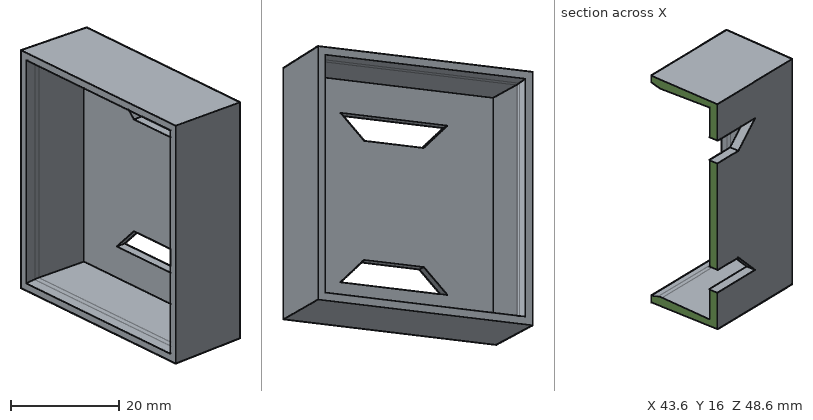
import cadquery as cq

width = 43.6
depth = 16.0
height = 48.6
back_inset = 0.2

rim_width = 1.5
lip_height = 0.6
lip_depth = 2.15
lip_radius = 3.3
back_thickness = 2.0
cavity_depth = depth - back_thickness

window_long = 21.68
window_height = 4.8
window_short = window_long - 2 * window_height
window_outer_z = 16.25
window_inner_z = window_outer_z - window_height


def frustum(front_inset, back_face_inset, length):
    """Rectangular frustum from the front plane, inset from the front outline at each end."""
    front_width = width - 2 * front_inset
    front_height = height - 2 * front_inset
    back_width = width - 2 * back_face_inset
    back_height = height - 2 * back_face_inset
    return (
        cq.Workplane("XZ")
        .rect(front_width, front_height)
        .workplane(offset=-length)
        .rect(back_width, back_height)
        .loft(ruled=True)
    )


def cavity():
    """Pocket that narrows to a rounded lip and widens again toward the back plate."""
    lip_inset = rim_width + lip_height
    rear_inset = rim_width + back_inset
    mouth = frustum(rim_width, lip_inset, lip_depth)
    chamber = frustum(lip_inset, rear_inset, cavity_depth - lip_depth)
    chamber = chamber.translate((0, lip_depth, 0))
    lip_edges = cq.selectors.BoxSelector(
        (-width, lip_depth / 2, -height),
        (width, lip_depth * 2, height),
    )
    return mouth.union(chamber).edges(lip_edges).edges("#Y").fillet(lip_radius)


def window(side):
    """Through window above (side = 1) or below (side = -1) the centre."""
    return (
        cq.Workplane("XZ")
        .polyline([
            (-window_long / 2, side * window_outer_z),
            (window_long / 2, side * window_outer_z),
            (window_short / 2, side * window_inner_z),
            (-window_short / 2, side * window_inner_z),
        ])
        .close()
        .extrude(-depth)
    )


result = frustum(0, back_inset, depth).cut(cavity())
for side in (1, -1):
    result = result.cut(window(side))